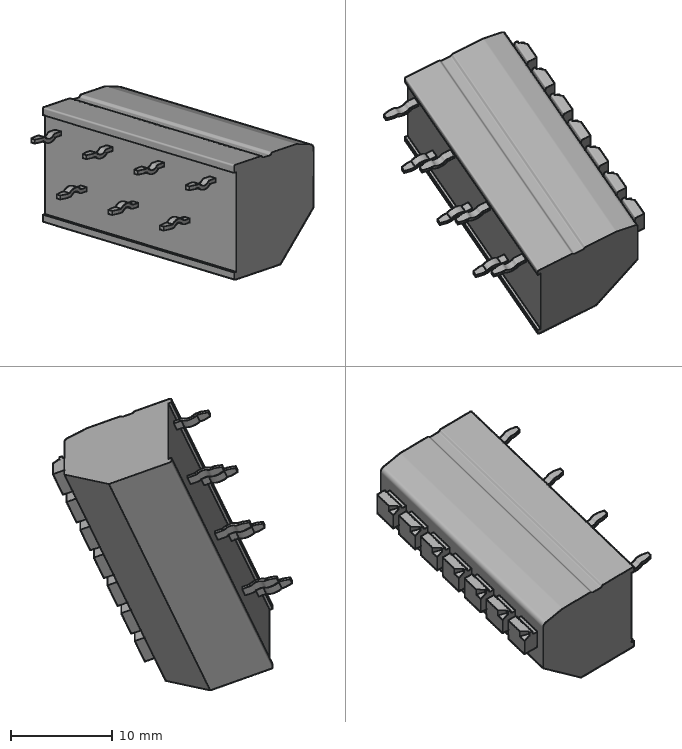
import cadquery as cq
import math


BODY_LENGTH = 26.0
BODY_DEPTH = 11.47
BODY_HEIGHT = 12.0
BACK_CHAMFER = 4.78
SLOPE_START = 9.0
SLOPE_ANGLE = 15.0
SLOPE_RADIUS = 0.52
BACK_RADIUS = 0.57
RAIL_HEIGHT = 0.8
RAIL_DEPTH = 0.3
EDGE_RADIUS = 0.18

GROOVE_CENTRE = 4.7
GROOVE_FLOOR_WIDTH = 1.07
GROOVE_DEPTH = 0.23

POLE_COUNT = 7
POLE_SPAN = 21.0
POLE_PITCH = POLE_SPAN / (POLE_COUNT - 1)

BUTTON_START = 0.9
BUTTON_WIDTH = 2.6
BUTTON_BOTTOM = 7.2
BUTTON_TOP = 9.98
BUTTON_REACH = 1.6
STEP_HEIGHT = 0.5
STEP_LOW = 0.52
STEP_LEAN = 0.08
NOTCH_LENGTH = 0.68
NOTCH_OUTER_WIDTH = 0.75
NOTCH_INNER_WIDTH = 0.2
NOTCH_OUTER_DEPTH = 0.75
NOTCH_INNER_DEPTH = 0.36

FIRST_PIN_X = 1.8
PIN_WIDTH = 0.8
PIN_TIP_WIDTH = 0.5
PIN_THICKNESS = 0.42
PIN_REACH = 3.33
PIN_TAPER_LENGTH = 0.73
UPPER_PIN_Z = 9.72
PIN_ROW_SPACING = 5.02
KINK_Y = -1.33
KINK_RISE = 0.36
KINK_HALF_LENGTH = 0.83

SELECT_MARGIN = 0.003


def extrude_along_x(outline, start, length):
    """Extrude a closed YZ outline by length, starting at X = start."""
    return outline.extrude(length).translate((start, 0, 0))


def round_edges(solid, radius, corners):
    """Round the edges parallel to X that pass through the given (y, z) corners."""
    bounds = solid.val().BoundingBox()
    for y, z in corners:
        corner_box = cq.selectors.BoxSelector(
            (bounds.xmin, y - SELECT_MARGIN, z - SELECT_MARGIN),
            (bounds.xmax, y + SELECT_MARGIN, z + SELECT_MARGIN),
        )
        solid = solid.edges("|X").edges(corner_box).fillet(radius)
    return solid


def make_body():
    back_top = BODY_HEIGHT - (BODY_DEPTH - SLOPE_START) * math.tan(math.radians(SLOPE_ANGLE))
    floor_z = BODY_HEIGHT - GROOVE_DEPTH
    floor_front = GROOVE_CENTRE - GROOVE_FLOOR_WIDTH / 2
    floor_back = GROOVE_CENTRE + GROOVE_FLOOR_WIDTH / 2
    groove_corners = [
        (floor_front - GROOVE_DEPTH, BODY_HEIGHT),
        (floor_front, floor_z),
        (floor_back, floor_z),
        (floor_back + GROOVE_DEPTH, BODY_HEIGHT),
    ]
    rail_corners = [(0, 0), (0, BODY_HEIGHT)]
    outline = (
        cq.Workplane("YZ")
        .polyline([
            (0, 0),
            (0, RAIL_HEIGHT),
            (RAIL_DEPTH, RAIL_HEIGHT),
            (RAIL_DEPTH, BODY_HEIGHT - RAIL_HEIGHT),
            (0, BODY_HEIGHT - RAIL_HEIGHT),
            (0, BODY_HEIGHT),
            *groove_corners,
            (SLOPE_START, BODY_HEIGHT),
            (BODY_DEPTH, back_top),
            (BODY_DEPTH, BACK_CHAMFER),
            (BODY_DEPTH - BACK_CHAMFER, 0),
        ])
        .close()
    )
    body = extrude_along_x(outline, 0, BODY_LENGTH)
    body = round_edges(body, SLOPE_RADIUS, [(SLOPE_START, BODY_HEIGHT)])
    body = round_edges(body, BACK_RADIUS, [(BODY_DEPTH, back_top)])
    return round_edges(body, EDGE_RADIUS, groove_corners + rail_corners)


def make_corner_notch(x_left, y_end):
    """Cutter for the notch in a button's outer left corner: sloped floor, diagonal upright wall."""
    y_inner = y_end - NOTCH_LENGTH
    footprint = (
        cq.Workplane("XY")
        .polyline([
            (x_left, y_inner),
            (x_left + NOTCH_INNER_WIDTH, y_inner),
            (x_left + NOTCH_OUTER_WIDTH, y_end),
            (x_left, y_end),
        ])
        .close()
        .extrude(BUTTON_TOP)
    )
    side = (
        cq.Workplane("YZ")
        .polyline([
            (y_inner, BUTTON_TOP),
            (y_inner, BUTTON_TOP - NOTCH_INNER_DEPTH),
            (y_end, BUTTON_TOP - NOTCH_OUTER_DEPTH),
            (y_end, BUTTON_TOP),
        ])
        .close()
    )
    return extrude_along_x(side, x_left, NOTCH_OUTER_WIDTH).intersect(footprint)


def make_button(x_left):
    y_end = BODY_DEPTH + BUTTON_REACH
    ledge_z = BUTTON_TOP - STEP_HEIGHT
    step_corners = [
        (BODY_DEPTH + STEP_LOW, ledge_z),
        (BODY_DEPTH + STEP_LOW + STEP_LEAN, BUTTON_TOP),
    ]
    outline = (
        cq.Workplane("YZ")
        .polyline([
            (BODY_DEPTH, BUTTON_BOTTOM),
            (BODY_DEPTH, ledge_z),
            *step_corners,
            (y_end, BUTTON_TOP),
            (y_end, BUTTON_BOTTOM),
        ])
        .close()
    )
    button = extrude_along_x(outline, x_left, BUTTON_WIDTH)
    button = round_edges(button, EDGE_RADIUS, step_corners)
    return button.cut(make_corner_notch(x_left, y_end))


def make_pin(x_centre, z_centre, kink_side):
    """Flat pin with a tapered tip and a bend toward +Z (kink_side 1) or -Z (kink_side -1)."""
    outer_radius = (KINK_HALF_LENGTH**2 + KINK_RISE**2) / (2 * KINK_RISE)
    inner_radius = outer_radius - PIN_THICKNESS
    outer_flat = outer_radius - KINK_RISE
    inner_flat = outer_flat - PIN_THICKNESS

    blend_radius = PIN_THICKNESS
    blend_height = inner_flat + blend_radius
    blend_offset = math.sqrt((inner_radius + blend_radius) ** 2 - blend_height**2)
    share = inner_radius / (inner_radius + blend_radius)
    blend_middle = math.atan2(blend_height, blend_offset) / 2 + math.pi / 4

    def at(offset, height):
        """Turn an offset along the pin and a height above the arc centre into (y, z)."""
        flat_middle = (outer_flat + inner_flat) / 2
        return (KINK_Y + offset, z_centre + kink_side * (height - flat_middle))

    middle_offset = blend_offset - blend_radius * math.cos(blend_middle)
    middle_height = blend_height - blend_radius * math.sin(blend_middle)
    root = RAIL_DEPTH - KINK_Y
    tip = -PIN_REACH - KINK_Y
    outline = (
        cq.Workplane("YZ")
        .moveTo(*at(root, outer_flat))
        .lineTo(*at(KINK_HALF_LENGTH, outer_flat))
        .threePointArc(at(0, outer_radius), at(-KINK_HALF_LENGTH, outer_flat))
        .lineTo(*at(tip, outer_flat))
        .lineTo(*at(tip, inner_flat))
        .lineTo(*at(-blend_offset, inner_flat))
        .threePointArc(
            at(-middle_offset, middle_height),
            at(-blend_offset * share, blend_height * share),
        )
        .threePointArc(at(0, inner_radius), at(blend_offset * share, blend_height * share))
        .threePointArc(at(middle_offset, middle_height), at(blend_offset, inner_flat))
        .lineTo(*at(root, inner_flat))
        .close()
    )
    bent_strip = extrude_along_x(outline, x_centre - PIN_WIDTH / 2, PIN_WIDTH)

    taper_y = -PIN_REACH + PIN_TAPER_LENGTH
    strip_clearance = 2 * (KINK_RISE + PIN_THICKNESS)
    plan = (
        cq.Workplane("XY", origin=(x_centre, 0, z_centre))
        .polyline([
            (-PIN_WIDTH / 2, RAIL_DEPTH),
            (-PIN_WIDTH / 2, taper_y),
            (-PIN_TIP_WIDTH / 2, -PIN_REACH),
            (PIN_TIP_WIDTH / 2, -PIN_REACH),
            (PIN_WIDTH / 2, taper_y),
            (PIN_WIDTH / 2, RAIL_DEPTH),
        ])
        .close()
        .extrude(strip_clearance, both=True)
    )
    return bent_strip.intersect(plan)


result = make_body()
for pole in range(POLE_COUNT):
    pole_x = pole * POLE_PITCH
    result = result.union(make_button(BUTTON_START + pole_x))
    if pole % 2 == 0:
        pin = make_pin(FIRST_PIN_X + pole_x, UPPER_PIN_Z, -1)
    else:
        pin = make_pin(FIRST_PIN_X + pole_x, UPPER_PIN_Z - PIN_ROW_SPACING, 1)
    result = result.union(pin)